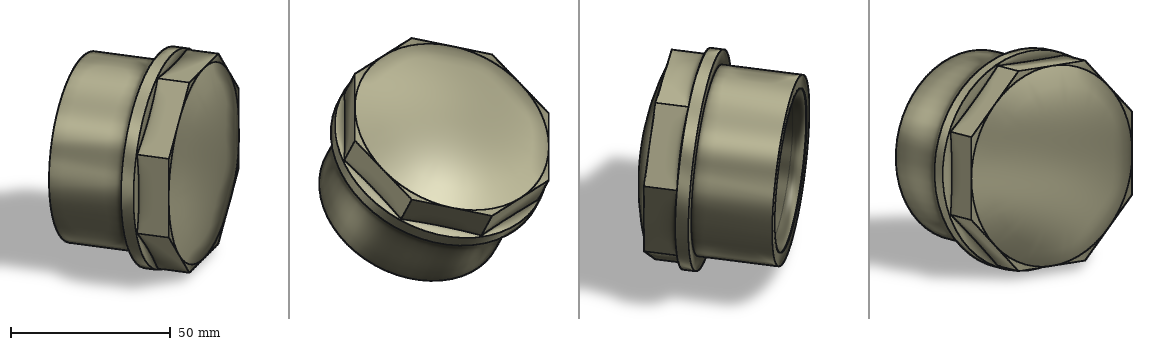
import cadquery as cq
import math

flange_start = 25.75
flange_end = 29.9
head_end = 40.5
overall_length = 47.0

spigot_diameter = 60.5
flange_diameter = 70.0
head_across_flats = 63.85
head_sides = 8
flange_cone_height = 0.7

mouth_diameter = 51.95
throat_diameter = 48.0
floor_diameter = 47.6
mouth_land_length = 0.3
mouth_round_length = 3.9
bore_depth = flange_end


def spigot_and_flange():
    """Round spigot with a flange whose back face is slightly conical."""
    cone_end = flange_end + flange_cone_height
    profile = (
        cq.Workplane("XY")
        .polyline([
            (0, 0),
            (0, spigot_diameter / 2),
            (flange_start, spigot_diameter / 2),
            (flange_start, flange_diameter / 2),
            (flange_end, flange_diameter / 2),
            (cone_end, head_across_flats / 2),
            (cone_end, 0),
        ])
        .close()
    )
    return profile.revolve(360, (0, 0, 0), (1, 0, 0))


def octagonal_head():
    """Octagonal wrench head with flats facing +/-Y and +/-Z."""
    half_side_angle = math.pi / head_sides
    across_corners = head_across_flats / math.cos(half_side_angle)
    return (
        cq.Workplane("YZ")
        .workplane(offset=flange_end)
        .transformed(rotate=(0, 0, math.degrees(half_side_angle)))
        .polygon(head_sides, across_corners)
        .extrude(head_end - flange_end)
    )


def dome():
    """Spherical cap whose base circle touches the head flats."""
    base_radius = head_across_flats / 2
    height = overall_length - head_end
    sphere_radius = (base_radius**2 + height**2) / (2 * height)
    sphere_center = overall_length - sphere_radius
    half_angle = math.asin(base_radius / sphere_radius) / 2
    arc_middle = (
        sphere_center + sphere_radius * math.cos(half_angle),
        sphere_radius * math.sin(half_angle),
    )
    return (
        cq.Workplane("XY")
        .moveTo(head_end, 0)
        .lineTo(head_end, base_radius)
        .threePointArc(arc_middle, (overall_length, 0))
        .close()
        .revolve(360, (0, 0, 0), (1, 0, 0))
    )


def bore():
    """Slightly tapered blind bore with a short straight land and a rounded lead-in at the mouth."""
    mouth_step = (mouth_diameter - throat_diameter) / 2
    round_radius = (mouth_round_length**2 + mouth_step**2) / (2 * mouth_step)
    throat_start = mouth_land_length + mouth_round_length
    half_angle = math.asin(mouth_round_length / round_radius) / 2
    arc_middle = (
        throat_start - round_radius * math.sin(half_angle),
        throat_diameter / 2 + round_radius * (1 - math.cos(half_angle)),
    )
    return (
        cq.Workplane("XY")
        .moveTo(0, 0)
        .lineTo(0, mouth_diameter / 2)
        .lineTo(mouth_land_length, mouth_diameter / 2)
        .threePointArc(arc_middle, (throat_start, throat_diameter / 2))
        .lineTo(bore_depth, floor_diameter / 2)
        .lineTo(bore_depth, 0)
        .close()
        .revolve(360, (0, 0, 0), (1, 0, 0))
    )


result = spigot_and_flange().union(octagonal_head()).union(dome()).cut(bore())